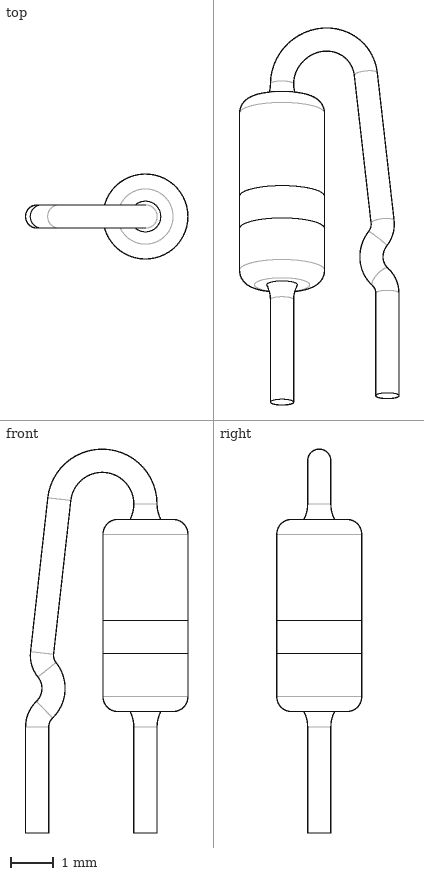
import cadquery as cq
import math

total_height = 9.01
wire_radius = 0.55 / 2
lead_spacing = 2.54

housing_radius = 2.0 / 2
housing_length = 4.51
housing_base = 2.85
housing_edge_radius = 0.35
housing_top = housing_base + housing_length

band_width = 0.78
band_base = 4.21
band_thickness = 0.045

flare_length = 0.36
flare_radius = 0.36

hook_base = housing_top + flare_length
hook_radius = total_height - wire_radius - hook_base
free_tip_length = housing_base - flare_length
lower_kink_radius = 0.57
middle_kink_radius = 0.69
upper_kink_radius = 0.53
lower_lean = math.radians(46)
upper_lean = math.radians(39)


def bend(path, start, radius, start_lean, end_lean):
    """Add an arc to an upward path; leans are measured from +Z toward +X.

    Returns the extended path and the end point of the arc.
    """
    side = 1 if end_lean > start_lean else -1

    def point_at(lean):
        x = start[0] + side * radius * (math.cos(start_lean) - math.cos(lean))
        z = start[1] + side * radius * (math.sin(lean) - math.sin(start_lean))
        return (x, z)

    middle = point_at((start_lean + end_lean) / 2)
    end = point_at(end_lean)
    return path.threePointArc(middle, end), end


def straight_wire_lean(kink_end):
    """Lean of the line tangent to both the upper kink bend and the hook."""
    kink_center_x = kink_end[0] + upper_kink_radius * math.cos(upper_lean)
    kink_center_z = kink_end[1] + upper_kink_radius * math.sin(upper_lean)
    run = -hook_radius - kink_center_x
    rise = hook_base - kink_center_z
    radius_difference = hook_radius - upper_kink_radius
    return math.atan2(run, rise) - math.asin(radius_difference / math.hypot(run, rise))


def make_wire():
    """Round wire from the free tip, over the hook and down through the housing."""
    point = (-lead_spacing, free_tip_length)
    path = cq.Workplane("XZ").moveTo(-lead_spacing, 0).lineTo(*point)
    path, point = bend(path, point, lower_kink_radius, 0, lower_lean)
    path, point = bend(path, point, middle_kink_radius, lower_lean, -upper_lean)
    tilt = straight_wire_lean(point)
    path, point = bend(path, point, upper_kink_radius, -upper_lean, tilt)

    hook_start = (
        -hook_radius * (1 + math.cos(tilt)),
        hook_base + hook_radius * math.sin(tilt),
    )
    path = path.lineTo(*hook_start)
    path, _ = bend(path, hook_start, hook_radius, tilt, math.pi)
    path = path.lineTo(0, 0)
    return cq.Workplane("XY").center(-lead_spacing, 0).circle(wire_radius).sweep(path)


def make_flare(face_height, direction):
    """Concave collar widening from the wire to the housing end face."""
    outer_height = face_height + direction * flare_length
    return (
        cq.Workplane("XZ")
        .moveTo(0, face_height)
        .lineTo(0, outer_height)
        .lineTo(wire_radius, outer_height)
        .threePointArc(flare_middle(face_height, direction), (flare_radius, face_height))
        .close()
        .revolve(360, (0, 0), (0, 1))
    )


def flare_middle(face_height, direction):
    """Middle of the collar arc, which leaves the wire surface tangentially."""
    growth = flare_radius - wire_radius
    arc_radius = (flare_length**2 + growth**2) / (2 * growth)
    half_angle = math.asin(flare_length / arc_radius) / 2
    radius = wire_radius + arc_radius * (1 - math.cos(half_angle))
    distance = flare_length - arc_radius * math.sin(half_angle)
    return (radius, face_height + direction * distance)


def make_lead():
    lead = make_wire()
    for face_height, direction in ((housing_base, -1), (housing_top, 1)):
        lead = lead.union(make_flare(face_height, direction))
    return lead


def make_band():
    """Marking ring flush with the housing surface."""
    return (
        cq.Workplane("XY", origin=(0, 0, band_base))
        .circle(housing_radius)
        .circle(housing_radius - band_thickness)
        .extrude(band_width)
    )


def make_housing(marking_band):
    """Rounded cylinder with a bore for the lead and a groove for the band."""
    return (
        cq.Workplane("XY", origin=(0, 0, housing_base))
        .circle(housing_radius)
        .extrude(housing_length)
        .edges()
        .fillet(housing_edge_radius)
        .faces(">Z")
        .workplane()
        .hole(2 * wire_radius)
        .cut(marking_band)
    )


lead = make_lead()
band = make_band()
housing = make_housing(band)

result = cq.Compound.makeCompound([housing.solids().val(), band.val(), lead.solids().val()])